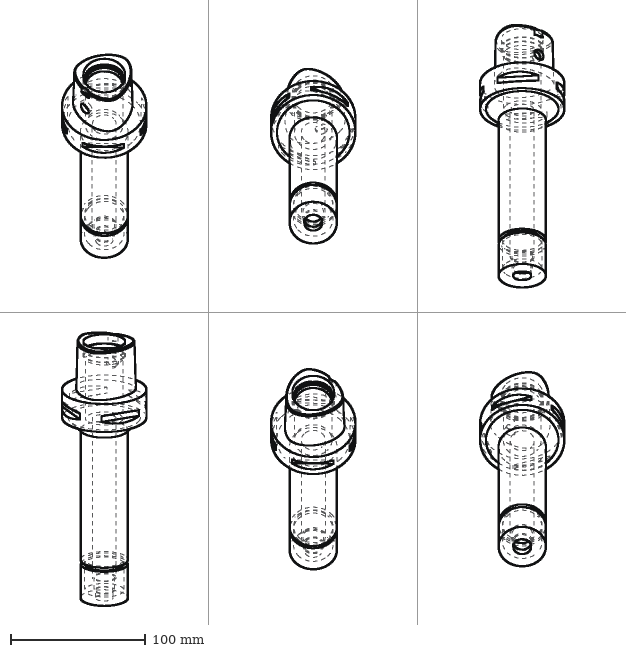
import cadquery as cq
import math

total_height = 203.0
flange_top = 165.0
flange_bottom = 143.0
cone_bottom = 133.4
shank_bottom = 30.2
nut_top = 27.0
nut_rim_height = 1.8

flange_radius = 31.5
shank_radius = 17.7
cone_top_radius = 27.0
neck_radius = 14.6
nut_radius = 17.7
nut_rim_radius = 17.5

lobe_mean_radius = 22.23
lobe_offset = 1.56
coupling_slope = 1 / 40
coupling_chamfer_height = 1.5
coupling_chamfer_inset = 0.71
curve_points = 48

mouth_radius = 15.6
throat_radius = 15.0
mouth_depth = 7.1
relief_radius = 15.8
relief_depth = 10.8
seat_radius = 14.0
seat_depth = 13.4
chamber_depth = 61.0
coolant_radius = 9.0
outlet_radius = 7.7
outlet_length = 10.2
nut_bore_radius = 6.7
nut_floor = 6.0

keyway_radius = 5.7
keyway_depth = 6.0
keyway_wall_y = -18.0
side_hole_radius = 4.16
side_hole_z = 180.5
side_hole_floor_y = -16.6

groove_count = 4
groove_first_angle = 45.0
groove_z = 153.0
groove_floor_radius = 27.5
groove_floor_half = 2.2
groove_mouth_half = 4.0


def lobed_wire(mean_radius, z):
    """Closed constant-width curve with three lobes, one pointing along +Y."""
    points = []
    for i in range(curve_points):
        t = 2 * math.pi * i / curve_points
        along = mean_radius * math.cos(t) + lobe_offset * (2 * math.cos(2 * t) - math.cos(4 * t))
        across = mean_radius * math.sin(t) - lobe_offset * (2 * math.sin(2 * t) + math.sin(4 * t))
        points.append(cq.Vector(-across, along, z))
    return cq.Wire.assembleEdges([cq.Edge.makeSpline(points, periodic=True)])


def make_coupling():
    """Tapered lobed coupling with a chamfered top edge."""
    chamfer_z = total_height - coupling_chamfer_height
    chamfer_mean = lobe_mean_radius - coupling_slope * (chamfer_z - flange_top)
    base = lobed_wire(lobe_mean_radius, flange_top)
    shoulder = lobed_wire(chamfer_mean, chamfer_z)
    tip = lobed_wire(chamfer_mean - coupling_chamfer_inset, total_height)
    taper = cq.Solid.makeLoft([base, shoulder], True)
    chamfer = cq.Solid.makeLoft([shoulder, tip], True)
    return cq.Workplane(taper).union(cq.Workplane(chamfer))


def revolve_profile(points):
    """Turn a closed (radius, z) outline around the Z axis."""
    return cq.Workplane("XZ").polyline(points).close().revolve(360, (0, 0), (0, 1))


def make_turned_body():
    """Flange, cone, shank and the neck that enters the nut."""
    return revolve_profile([
        (0, flange_top),
        (flange_radius, flange_top),
        (flange_radius, flange_bottom),
        (cone_top_radius, flange_bottom),
        (shank_radius, cone_bottom),
        (shank_radius, shank_bottom),
        (neck_radius, shank_bottom),
        (neck_radius, nut_floor),
        (0, nut_floor),
    ])


def make_bore():
    """Tapered mouth, relief groove, conical seat, chamber and stepped coolant hole."""
    return revolve_profile([
        (0, total_height),
        (mouth_radius, total_height),
        (throat_radius, total_height - mouth_depth),
        (relief_radius, total_height - mouth_depth),
        (relief_radius, total_height - relief_depth),
        (throat_radius, total_height - relief_depth),
        (seat_radius, total_height - seat_depth),
        (seat_radius, total_height - chamber_depth),
        (coolant_radius, total_height - chamber_depth),
        (coolant_radius, nut_floor + outlet_length),
        (outlet_radius, nut_floor + outlet_length),
        (outlet_radius, nut_floor),
        (0, nut_floor),
    ])


def make_keyway():
    """Vertical round scallop in the coupling's top edge."""
    return (
        cq.Workplane("XY", origin=(0, keyway_wall_y - keyway_radius, total_height))
        .circle(keyway_radius)
        .extrude(-keyway_depth)
    )


def make_side_hole():
    """Blind flat-bottomed hole running along Y."""
    return (
        cq.Workplane("XZ", origin=(0, side_hole_floor_y, side_hole_z))
        .circle(side_hole_radius)
        .extrude(lobe_mean_radius)
    )


def make_groove(angle):
    """Straight trapezoid groove across the flange, facing outward at the angle."""
    groove = (
        cq.Workplane("XZ", origin=(0, flange_radius, groove_z))
        .polyline([
            (groove_floor_radius, -groove_floor_half),
            (flange_radius, -groove_mouth_half),
            (flange_radius, groove_mouth_half),
            (groove_floor_radius, groove_floor_half),
        ])
        .close()
        .extrude(2 * flange_radius)
    )
    return groove.rotate((0, 0, 0), (0, 0, 1), angle)


def make_holder():
    holder = make_turned_body().union(make_coupling())
    holder = holder.cut(make_bore()).cut(make_keyway()).cut(make_side_hole())
    for i in range(groove_count):
        holder = holder.cut(make_groove(groove_first_angle + i * 360 / groove_count))
    return holder


def make_nut():
    """Cap around the neck, with a shallow tapered rim and a through bore."""
    return revolve_profile([
        (nut_bore_radius, 0),
        (nut_radius, 0),
        (nut_radius, nut_top - nut_rim_height),
        (nut_rim_radius, nut_top),
        (neck_radius, nut_top),
        (neck_radius, nut_floor),
        (nut_bore_radius, nut_floor),
    ])


holder = make_holder()
nut = make_nut()

result = cq.Compound.makeCompound([holder.val(), nut.val()])